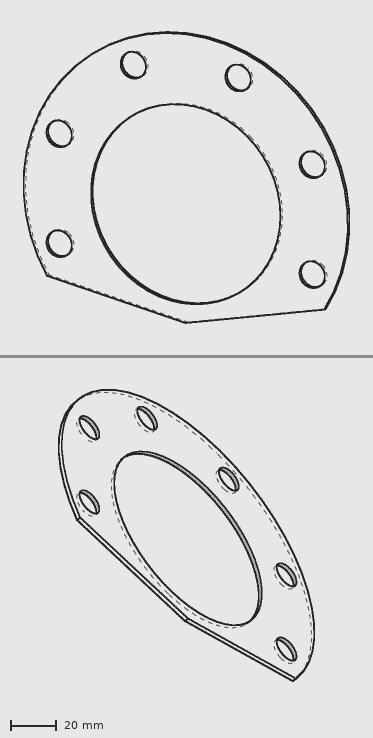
import cadquery as cq
import math

outer_radius = 77.0
thickness = 2.0
bore_radius = 45.0
tip_depth = 53.7
corner_depth = 40.0

bolt_circle_radius = 65.0
bolt_hole_radius = 6.0
bolt_spacing = 45.0
first_bolt_angle = -bolt_spacing / 2
bolt_count = 6

corner_x = math.sqrt(outer_radius**2 - corner_depth**2)
bolt_angles = [math.radians(first_bolt_angle + i * bolt_spacing) for i in range(bolt_count)]
bolt_centres = [
    (bolt_circle_radius * math.cos(angle), bolt_circle_radius * math.sin(angle))
    for angle in bolt_angles
]

plate = (
    cq.Workplane("XZ")
    .moveTo(0, -tip_depth)
    .lineTo(corner_x, -corner_depth)
    .threePointArc((0, outer_radius), (-corner_x, -corner_depth))
    .close()
    .extrude(thickness / 2, both=True)
)

bore = cq.Workplane("XZ").circle(bore_radius).extrude(thickness, both=True)
bolt_holes = (
    cq.Workplane("XZ")
    .pushPoints(bolt_centres)
    .circle(bolt_hole_radius)
    .extrude(thickness, both=True)
)

result = plate.cut(bore).cut(bolt_holes)